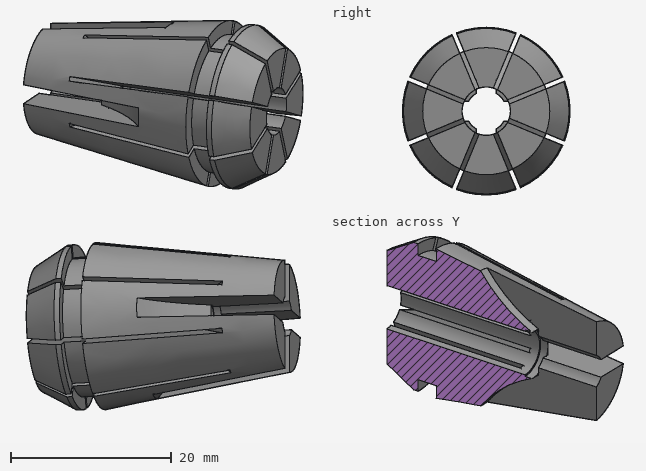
import cadquery as cq
import math

length = 31.5
rear_radius = 7.0
cone_radius = 20.9 / 2
cone_end = 23.88
groove_radius = 8.7
flange_start = 26.65
flange_radius = 10.3
flange_end = 27.35
front_radius = 7.9

pilot_radius = 2.52
pilot_depth = 8.98
bore_radius = 3.0
relief_radius = 3.2
relief_end = 10.08

slot_width = 2.45
slot_count = 4
runout_start = pilot_depth
runout_end = 16.98
runout_radius = 20.0

slit_width = 0.57
slit_count = 8
slit_start = 6.52
slit_ramp_angle = 45.0
slit_floor_radius = bore_radius / 2

clearance = 0.63
outer_reach = cone_radius + clearance


def cone_radius_at(x):
    return rear_radius + (cone_radius - rear_radius) * x / cone_end


def make_body():
    profile = (
        cq.Workplane("XY")
        .moveTo(0, 0)
        .lineTo(0, rear_radius)
        .lineTo(cone_end, cone_radius)
        .lineTo(cone_end, groove_radius)
        .lineTo(flange_start, groove_radius)
        .lineTo(flange_start, flange_radius)
        .lineTo(flange_end, flange_radius)
        .lineTo(length, front_radius)
        .lineTo(length, 0)
        .close()
    )
    return profile.revolve(360, (0, 0, 0), (1, 0, 0))


def make_holes():
    pilot = cq.Workplane("YZ").circle(pilot_radius).extrude(pilot_depth)
    relief = (
        cq.Workplane("YZ", origin=(pilot_depth, 0, 0))
        .circle(relief_radius)
        .extrude(relief_end - pilot_depth)
    )
    bore = cq.Workplane("YZ", origin=(relief_end, 0, 0)).circle(bore_radius).extrude(length - relief_end)
    return pilot.union(relief).union(bore)


def make_slot():
    tip_radius = cone_radius_at(runout_end)
    return (
        cq.Workplane("XY")
        .moveTo(0, 0)
        .lineTo(runout_start, 0)
        .lineTo(runout_start, relief_radius)
        .radiusArc((runout_end, tip_radius), -runout_radius)
        .lineTo(runout_end, outer_reach)
        .lineTo(0, outer_reach)
        .close()
        .extrude(slot_width / 2, both=True)
    )


def make_slit():
    ramp_top = cone_radius_at(slit_start)
    ramp_run = (ramp_top - slit_floor_radius) / math.tan(math.radians(slit_ramp_angle))
    return (
        cq.Workplane("XY")
        .moveTo(slit_start, outer_reach)
        .lineTo(slit_start, ramp_top)
        .lineTo(slit_start + ramp_run, slit_floor_radius)
        .lineTo(length, slit_floor_radius)
        .lineTo(length, outer_reach)
        .close()
        .extrude(slit_width / 2, both=True)
    )


def cut_around_axis(body, cutter, count, first_angle):
    for i in range(count):
        angle = first_angle + i * 360 / count
        body = body.cut(cutter.rotate((0, 0, 0), (1, 0, 0), angle))
    return body


result = make_body().cut(make_holes())
result = cut_around_axis(result, make_slot(), slot_count, 0)
result = cut_around_axis(result, make_slit(), slit_count, 180 / slit_count)